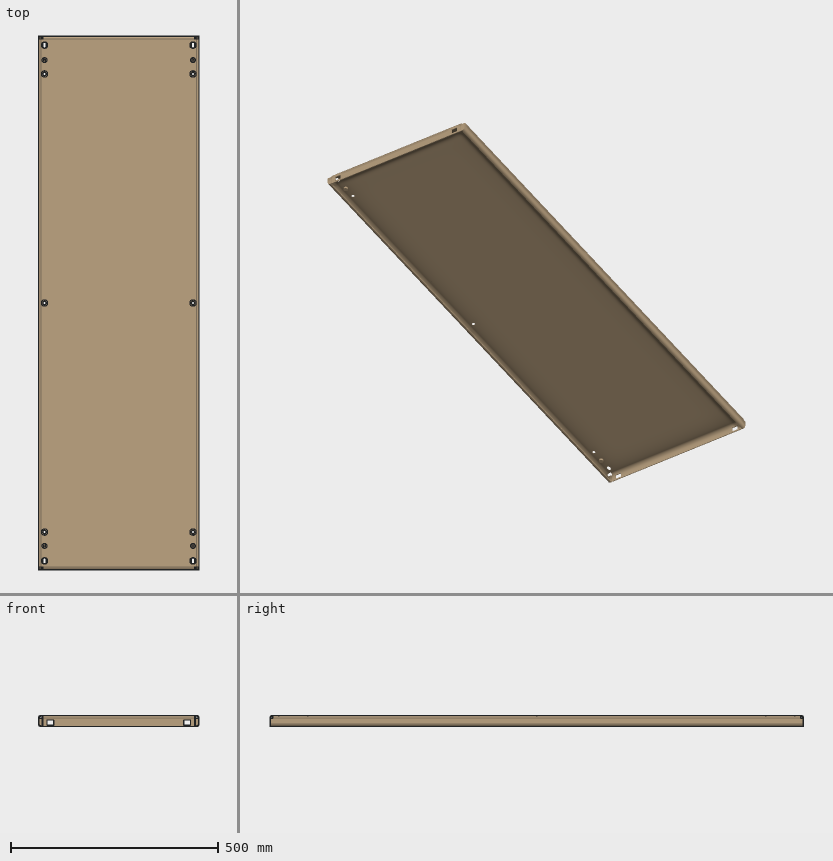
import cadquery as cq
import math

length = 1288.0
flat_width = 375.0
height = 27.0
sheet = 1.9
bend_radius = 6.7
width = flat_width + 2 * bend_radius

half_length = length / 2
half_width = width / 2
half_height = height / 2

lip_edge_x = 185.0
flange_half_width = 183.0
corner_slit_width = 1.0

window_width = 15.0
window_height = 12.0
window_x = 165.0
window_z = -4.0

hole_x = 179.0
recess_diameter = 15.0
recess_depth = 1.0
hole_diameter = 8.0
hole_y = 553.0
slot_length = 14.0
slot_y = 622.0

insert_y = 586.0
insert_diameter = 12.0
insert_length = 6.0
insert_bore_diameter = 5.0
insert_bore_depth = 4.0

cut_margin = 13.0


def box_between(x_range, y_range, z_range):
    """Axis-aligned box between the given limits."""
    size = [high - low for low, high in (x_range, y_range, z_range)]
    corner = (x_range[0], y_range[0], z_range[0])
    return cq.Workplane("XY").box(*size, centered=False).translate(corner)


def rounded_bar(inset):
    """Full-length bar with its long edges rounded, set in from the outer faces by the inset."""
    return (
        cq.Workplane("XY")
        .box(width - 2 * inset, length, height - 2 * inset)
        .edges("|Y")
        .fillet(bend_radius - inset)
    )


def curled_sides():
    """Top sheet and curled side walls, open downward between the two lips."""
    bottom_opening = box_between(
        (-lip_edge_x, lip_edge_x),
        (-half_length, half_length),
        (-half_height - cut_margin, 0),
    )
    return rounded_bar(0).cut(rounded_bar(sheet)).cut(bottom_opening)


def cut_end_strip(body, side):
    """Remove the top sheet and upper bends over the last bend radius at one end."""
    strip_start = side * (half_length - bend_radius)
    strip_end = side * (half_length + cut_margin)
    strip = box_between(
        (-half_width - cut_margin, half_width + cut_margin),
        sorted((strip_start, strip_end)),
        (half_height - bend_radius, half_height + cut_margin),
    )
    return body.cut(strip)


def end_flange(side):
    """Top sheet bent down at one end, with a rectangular opening near each corner."""
    bend_y = half_length - bend_radius
    bend_z = half_height - bend_radius
    inner_radius = bend_radius - sheet
    diagonal = math.sqrt(0.5)
    profile = (
        cq.Workplane("YZ")
        .moveTo(bend_y, half_height)
        .threePointArc(
            (bend_y + bend_radius * diagonal, bend_z + bend_radius * diagonal),
            (half_length, bend_z),
        )
        .lineTo(half_length, -half_height)
        .lineTo(half_length - sheet, -half_height)
        .lineTo(half_length - sheet, bend_z)
        .threePointArc(
            (bend_y + inner_radius * diagonal, bend_z + inner_radius * diagonal),
            (bend_y, half_height - sheet),
        )
        .close()
        .extrude(flange_half_width, both=True)
    )
    windows = (
        cq.Workplane("XZ")
        .pushPoints([(-window_x, window_z), (window_x, window_z)])
        .rect(window_width, window_height)
        .extrude(-length)
    )
    flange = profile.cut(windows)
    return flange if side > 0 else flange.mirror("XZ")


def corner_tab(x_side, y_side):
    """Tab that closes the open end of a side wall beside the end flange."""
    limits = box_between(
        sorted((x_side * half_width, x_side * (flange_half_width + corner_slit_width))),
        sorted((y_side * half_length, y_side * (half_length - sheet))),
        (-half_height, half_height - bend_radius),
    )
    return rounded_bar(0).intersect(limits)


def top_cylinders(points, diameter, depth):
    """Cylinders reaching down from the top face."""
    return (
        cq.Workplane("XY", origin=(0, 0, half_height))
        .pushPoints(points)
        .circle(diameter / 2)
        .extrude(-depth)
    )


def edge_points(*y_places):
    """Matching places along both long edges."""
    return [(x, y) for x in (-hole_x, hole_x) for y in y_places]


def build_panel():
    """Complete pan with its edge holes and the seats for the inserts."""
    body = curled_sides()
    for side in (-1, 1):
        body = cut_end_strip(body, side)
    for side in (-1, 1):
        body = body.union(end_flange(side))
        for x_side in (-1, 1):
            body = body.union(corner_tab(x_side, side))

    round_points = edge_points(-hole_y, 0, hole_y)
    slot_points = edge_points(-slot_y, slot_y)
    body = body.cut(top_cylinders(round_points + slot_points, recess_diameter, recess_depth))
    body = body.cut(top_cylinders(round_points, hole_diameter, half_height))
    slots = (
        cq.Workplane("XY", origin=(0, 0, half_height))
        .pushPoints(slot_points)
        .slot2D(slot_length, hole_diameter, 90)
        .extrude(-half_height)
    )
    body = body.cut(slots)
    return body.cut(top_cylinders(insert_points, insert_diameter, insert_length))


def build_insert(point):
    """Flush round insert with a blind bore from above."""
    insert = top_cylinders([point], insert_diameter, insert_length)
    return insert.cut(top_cylinders([point], insert_bore_diameter, insert_bore_depth))


insert_points = edge_points(-insert_y, insert_y)
panel = build_panel()
inserts = [build_insert(point).val() for point in insert_points]

result = cq.Compound.makeCompound([panel.val(), *inserts])